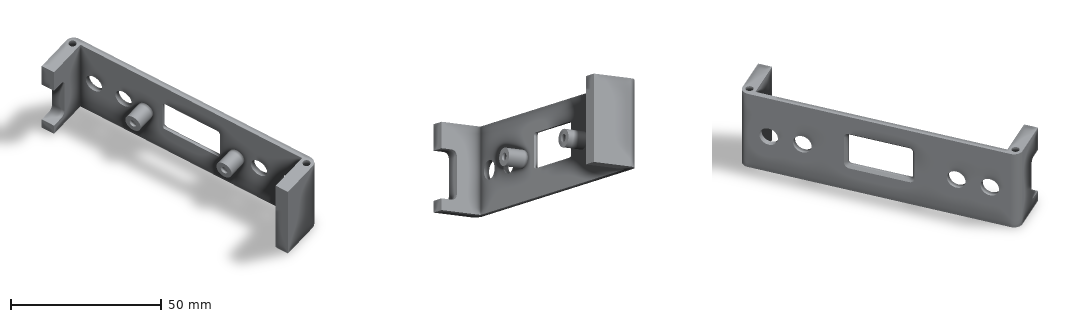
import cadquery as cq

length = 100.0
depth = 17.3
height = 30.0
panel_thickness = 2.0
wall_thickness = 5.0
corner_radius = 3.0

row_height = 14.4
panel_hole_diameter = 6.6
panel_hole_offsets = (27.5, 39.5)
boss_offset = 18.5
boss_diameter = 6.2
boss_length = 7.4
screw_hole_diameter = 2.7

window_width = 23.2
window_height = 12.2
window_base = 9.9
window_corner_radius = 1.0
window_bevel = 1.0

corner_hole_inset = 2.5
corner_hole_setback = 3.0
corner_hole_depth = 10.0

notch_base = 4.0
notch_top = 21.0
notch_depth = 6.0
notch_radius = 2.0


def mirrored(offset):
    """X positions of a pair of features placed symmetrically."""
    return (-offset, offset)


def cylinder_along_y(x, z, diameter, y_start, y_end):
    """Cylinder parallel to Y between two Y positions, with y_start above y_end."""
    plane = cq.Plane(origin=(x, y_start, z), xDir=(0, 0, 1), normal=(0, -1, 0))
    return cq.Workplane(plane).circle(diameter / 2).extrude(y_start - y_end)


def make_channel():
    """Panel and both end walls, with rounded outer corners."""
    block = cq.Workplane("XY").box(length, depth, height, centered=(True, False, False))
    block = block.translate((0, -depth, 0))
    block = block.edges("|Z and >Y").fillet(corner_radius)
    inner_depth = depth - panel_thickness
    inside = cq.Workplane("XY").box(
        length - 2 * wall_thickness, inner_depth, height, centered=(True, False, False)
    )
    return block.cut(inside.translate((0, -depth, 0)))


def cut_window(body):
    """Cut the rounded window and bevel its rim on the outer face of the panel."""
    cutter = cq.Workplane("XY").box(
        window_width, panel_thickness, window_height, centered=(True, False, False)
    )
    cutter = cutter.edges("|Y").fillet(window_corner_radius)
    cutter = cutter.translate((0, -panel_thickness, window_base))
    rim_area = cq.selectors.BoxSelector(
        (-window_width, -window_bevel / 2, window_base - window_bevel),
        (window_width, window_bevel / 2, window_base + window_height + window_bevel),
    )
    return body.cut(cutter).edges(rim_area).chamfer(window_bevel)


def make_notch():
    """Cutter for the notch, rounded at its two inner corners."""
    cutter = cq.Workplane("XY").box(
        wall_thickness, notch_depth, notch_top - notch_base, centered=False
    )
    cutter = cutter.edges("|X and >Y").fillet(notch_radius)
    return cutter.translate((-length / 2, -depth, notch_base))


def make_corner_hole(x):
    """Cutter for a vertical screw hole sunk from the top."""
    hole = cq.Workplane("XY", origin=(x, -corner_hole_setback, height))
    return hole.circle(screw_hole_diameter / 2).extrude(-corner_hole_depth)


result = cut_window(make_channel()).cut(make_notch())

for offset in panel_hole_offsets:
    for hole_x in mirrored(offset):
        result = result.cut(
            cylinder_along_y(hole_x, row_height, panel_hole_diameter, 0, -panel_thickness)
        )

boss_end = -panel_thickness - boss_length
for boss_x in mirrored(boss_offset):
    result = result.union(
        cylinder_along_y(boss_x, row_height, boss_diameter, -panel_thickness, boss_end)
    )
    result = result.cut(
        cylinder_along_y(boss_x, row_height, screw_hole_diameter, -panel_thickness, boss_end)
    )

for corner_x in mirrored(length / 2 - corner_hole_inset):
    result = result.cut(make_corner_hole(corner_x))